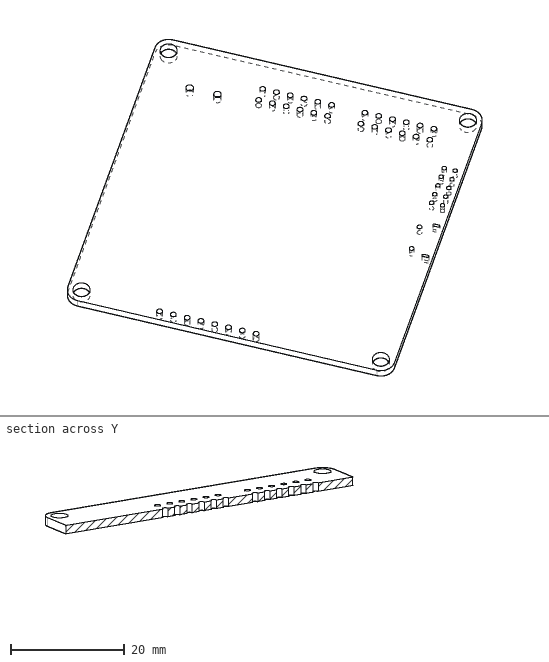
import cadquery as cq

board_side = 60.1
board_thickness = 1.6
corner_radius = 2.5

mount_diameter = 3.0
mount_offset = board_side / 2 - corner_radius

header_diameter = 1.0
double_header_columns = 6
double_header_span = 12.7
header_pitch = double_header_span / (double_header_columns - 1)
double_header_centers = [(-2.9, 22.8), (15.9, 22.8)]
single_header_columns = 8
single_header_center = (-4.1, -28.25)

fine_diameter = 0.8
fine_rows = 5
fine_span = 8.0
fine_pitch = fine_span / (fine_rows - 1)
fine_center = (27.45, 12.2)

terminal_diameter = 1.3
terminal_pitch = 5.1
terminal_center = (-19.1, 20.7)

locating_diameter = 0.85
locating_pitch = 5.0
locating_center = (25.9, 0.0)
slot_length = 1.25
slot_width = 0.5
slot_pitch = 7.0
slot_center = (28.65, 0.1)


def grid_points(center, columns, rows, column_pitch, row_pitch):
    """Points of a rectangular grid centred on the given point."""
    x_start = center[0] - (columns - 1) * column_pitch / 2
    y_start = center[1] - (rows - 1) * row_pitch / 2
    return [
        (x_start + column * column_pitch, y_start + row * row_pitch)
        for column in range(columns)
        for row in range(rows)
    ]


def drill(body, points, diameter):
    """Drill through holes at the given points."""
    return body.faces(">Z").workplane(origin=(0, 0, 0)).pushPoints(points).hole(diameter)


def make_board():
    """Square plate with rounded corners, its underside at Z = 0."""
    plate = cq.Workplane("XY").box(
        board_side, board_side, board_thickness, centered=(True, True, False)
    )
    return plate.edges("|Z").fillet(corner_radius)


def drill_headers(body):
    """Drill the double-row, single-row and fine-pitch headers."""
    for center in double_header_centers:
        points = grid_points(center, double_header_columns, 2, header_pitch, header_pitch)
        body = drill(body, points, header_diameter)
    single_points = grid_points(single_header_center, single_header_columns, 1, header_pitch, 0)
    body = drill(body, single_points, header_diameter)
    fine_points = grid_points(fine_center, 2, fine_rows, fine_pitch, fine_pitch)
    return drill(body, fine_points, fine_diameter)


def cut_edge_connector(body):
    """Drill the locating holes and cut the shell tab slots."""
    locating_points = grid_points(locating_center, 1, 2, 0, locating_pitch)
    body = drill(body, locating_points, locating_diameter)
    slots = (
        cq.Workplane("XY")
        .pushPoints(grid_points(slot_center, 1, 2, 0, slot_pitch))
        .slot2D(slot_length, slot_width)
        .extrude(board_thickness)
    )
    return body.cut(slots)


result = make_board()
mount_points = grid_points((0, 0), 2, 2, 2 * mount_offset, 2 * mount_offset)
result = drill(result, mount_points, mount_diameter)
result = drill_headers(result)
terminal_points = grid_points(terminal_center, 2, 1, terminal_pitch, 0)
result = drill(result, terminal_points, terminal_diameter)
result = cut_edge_connector(result)